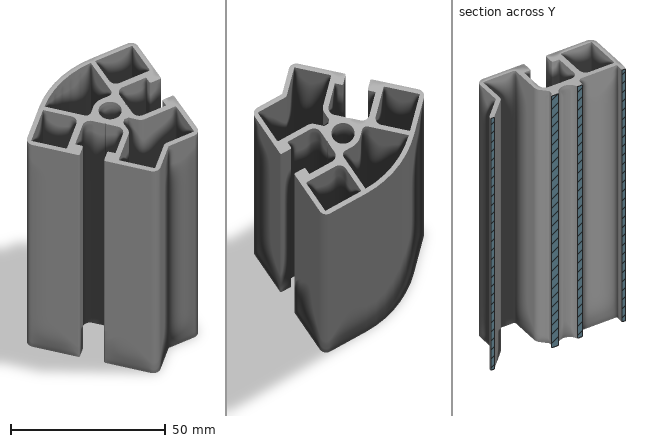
import cadquery as cq
import math

LENGTH = 100.0
HALF_WIDTH = 22.5
FACE_DISTANCE = 21.2
CORNER_RADIUS = 2.5
BORE_DIAMETER = 7.5
WALL = 1.6

BACK_START_Y = -5.0

SLOT_HALF_OPENING = 4.1
SLOT_HALF_WIDTH = 6.8
SLOT_FLOOR = 5.9
SLOT_FLOOR_RADIUS = 2.5
LIP_DEPTH = 4.2
LIP_EDGE_RADIUS = 0.5
GROOVE_DEPTH = 0.3
GROOVE_HALF_WIDTH = 0.3

CELL_WALL = 2.1
RIB_WALL = 1.8
LIP_ROOT_RADIUS = 0.5
CELL_RADIUS = 2.5
CORE_RADIUS = 5.7
CORE_FOOT_RADIUS = 1.7
CORE_TIP_X = 5.5
RIB_CHAMFER_SUM = 1.7
RIB_BEND_RADIUS = 3.0
ELBOW_RADIUS = 2.0

AXIS_ANGLE = math.radians(-22.5)
AXIS_SLOPE = math.tan(AXIS_ANGLE)
AXIS_DIRECTION = (math.cos(AXIS_ANGLE), math.sin(AXIS_ANGLE))
MIRROR_NORMAL = cq.Vector(-AXIS_DIRECTION[1], AXIS_DIRECTION[0], 0)

INNER_HALF_WIDTH = HALF_WIDTH - WALL
INNER_FACE = FACE_DISTANCE - WALL
CELL_EDGE = SLOT_HALF_WIDTH + CELL_WALL
RIB_EDGE = SLOT_HALF_WIDTH + RIB_WALL
BACK_CENTER = (BACK_START_Y / AXIS_SLOPE, BACK_START_Y)
BACK_RADIUS = BACK_CENTER[0] + HALF_WIDTH


def reflect(point):
    """Mirror a point across the symmetry line of the section."""
    x, y = point
    cosine = math.cos(2 * AXIS_ANGLE)
    sine = math.sin(2 * AXIS_ANGLE)
    return (x * cosine + y * sine, x * sine - y * cosine)


def with_reflection(solid):
    return [solid, solid.mirror(MIRROR_NORMAL)]


def prism(points):
    return cq.Workplane("XY").polyline(points).close().extrude(LENGTH)


def box(x_min, x_max, y_min, y_max):
    return prism([(x_min, y_min), (x_max, y_min), (x_max, y_max), (x_min, y_max)])


def round_edges(solid, points, radius):
    """Fillet the lengthwise edges that pass through the given section points."""
    for x, y in points:
        edge = cq.selectors.NearestToPointSelector((x, y, LENGTH / 2))
        solid = solid.edges("|Z").edges(edge).fillet(radius)
    return solid


def back_midpoint(radius):
    return (
        BACK_CENTER[0] - radius * AXIS_DIRECTION[0],
        BACK_CENTER[1] - radius * AXIS_DIRECTION[1],
    )


def make_body():
    back_start = (-HALF_WIDTH, BACK_START_Y)
    left_corner = (-HALF_WIDTH, -FACE_DISTANCE)
    right_corner = (HALF_WIDTH, -FACE_DISTANCE)
    elbow = (HALF_WIDTH, HALF_WIDTH * AXIS_SLOPE)
    body = (
        cq.Workplane("XY")
        .moveTo(*back_start)
        .lineTo(*left_corner)
        .lineTo(*right_corner)
        .lineTo(*elbow)
        .lineTo(*reflect(right_corner))
        .lineTo(*reflect(left_corner))
        .lineTo(*reflect(back_start))
        .threePointArc(back_midpoint(BACK_RADIUS), back_start)
        .close()
        .extrude(LENGTH)
    )
    corners = [left_corner, right_corner, reflect(left_corner), reflect(right_corner)]
    return round_edges(body, corners, CORNER_RADIUS)


def make_slot():
    lip_inner = LIP_DEPTH - FACE_DISTANCE
    channel = box(-SLOT_HALF_WIDTH, SLOT_HALF_WIDTH, lip_inner, -SLOT_FLOOR)
    floor_corners = [(side * SLOT_HALF_WIDTH, -SLOT_FLOOR) for side in (-1, 1)]
    channel = round_edges(channel, floor_corners, SLOT_FLOOR_RADIUS)
    opening = box(-SLOT_HALF_OPENING, SLOT_HALF_OPENING, -FACE_DISTANCE, lip_inner)
    groove = prism([
        (-GROOVE_HALF_WIDTH, -SLOT_FLOOR),
        (GROOVE_HALF_WIDTH, -SLOT_FLOOR),
        (0, GROOVE_DEPTH - SLOT_FLOOR),
    ])
    return channel.union(opening).union(groove)


def make_corner_cell():
    cell = box(-INNER_HALF_WIDTH, -CELL_EDGE, -INNER_FACE, -SLOT_FLOOR)
    cell = round_edges(cell, [(-CELL_EDGE, -INNER_FACE)], LIP_ROOT_RADIUS)
    return round_edges(cell, [(-CELL_EDGE, -SLOT_FLOOR)], CELL_RADIUS)


def make_back_cavity():
    floor_y = WALL - SLOT_FLOOR
    inner_radius = BACK_RADIUS - WALL
    rise = floor_y - BACK_CENTER[1]
    outer_foot = (BACK_CENTER[0] - math.sqrt(inner_radius**2 - rise**2), floor_y)
    core_foot = (-CORE_RADIUS, floor_y)
    core_side = (-CORE_RADIUS, 0)
    core_middle = (-CORE_RADIUS * AXIS_DIRECTION[0], -CORE_RADIUS * AXIS_DIRECTION[1])
    cavity = (
        cq.Workplane("XY")
        .moveTo(*outer_foot)
        .lineTo(*core_foot)
        .lineTo(*core_side)
        .threePointArc(core_middle, reflect(core_side))
        .lineTo(*reflect(core_foot))
        .lineTo(*reflect(outer_foot))
        .threePointArc(back_midpoint(inner_radius), outer_foot)
        .close()
        .extrude(LENGTH)
    )
    return round_edges(cavity, [core_foot, reflect(core_foot)], CORE_FOOT_RADIUS)


def make_elbow_cavity():
    core_tip = (CORE_TIP_X, CORE_TIP_X * AXIS_SLOPE)
    core_end = (CORE_TIP_X, RIB_CHAMFER_SUM - CORE_TIP_X)
    rib_bend = (RIB_EDGE, RIB_CHAMFER_SUM - RIB_EDGE)
    inner_corner = (RIB_EDGE, -INNER_FACE)
    outer_corner = (INNER_HALF_WIDTH, -INNER_FACE)
    elbow = (INNER_HALF_WIDTH, INNER_HALF_WIDTH * AXIS_SLOPE)
    lower_side = [core_end, rib_bend, inner_corner, outer_corner]
    upper_side = [reflect(point) for point in reversed(lower_side)]
    cavity = prism([core_tip] + lower_side + [elbow] + upper_side)
    cavity = round_edges(cavity, [rib_bend, reflect(rib_bend)], RIB_BEND_RADIUS)
    cavity = round_edges(cavity, [inner_corner, reflect(inner_corner)], LIP_ROOT_RADIUS)
    return round_edges(cavity, [elbow], ELBOW_RADIUS)


bore = cq.Workplane("XY").circle(BORE_DIAMETER / 2).extrude(LENGTH)
cutters = [bore, make_back_cavity(), make_elbow_cavity()]
cutters += with_reflection(make_slot())
cutters += with_reflection(make_corner_cell())

result = make_body()
for cutter in cutters:
    result = result.cut(cutter)

lip_edges = [
    (side * SLOT_HALF_OPENING, y)
    for side in (-1, 1)
    for y in (-FACE_DISTANCE, LIP_DEPTH - FACE_DISTANCE)
]
lip_edges += [reflect(point) for point in lip_edges]
result = round_edges(result, lip_edges, LIP_EDGE_RADIUS)